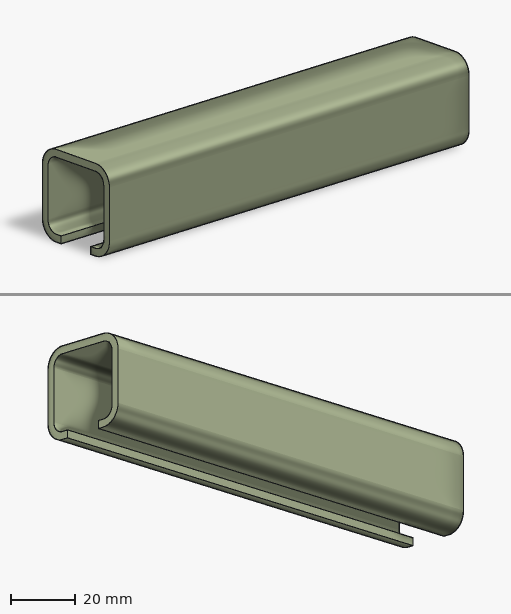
import cadquery as cq

length = 152.4
width = 30.5
wall = 2.6
corner_radius = 6.4
slot_width = 13.4

inner_width = width - 2 * wall
inner_radius = corner_radius - wall


def rounded_bar(side, radius):
    """Square bar along Y, centred on the origin, with its long edges rounded."""
    return cq.Workplane("XY").box(side, length, side).edges("|Y").fillet(radius)


tube = rounded_bar(width, corner_radius).cut(rounded_bar(inner_width, inner_radius))

slot = cq.Workplane("XY").box(slot_width, length, width / 2).translate((0, 0, -width / 2))

result = tube.cut(slot)